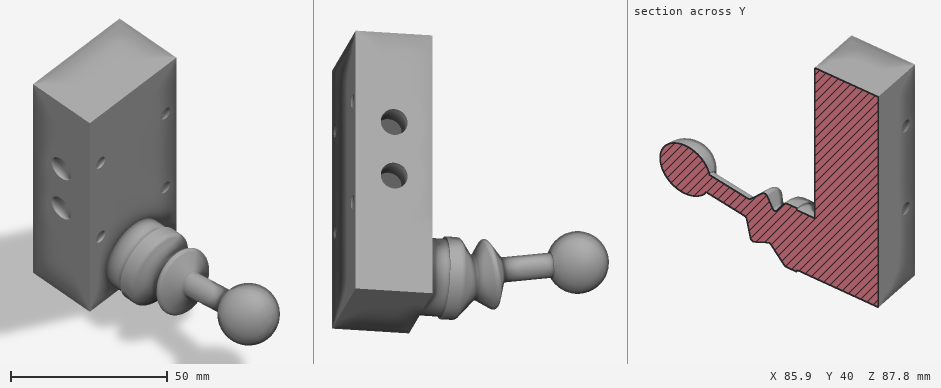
import cadquery as cq
import math

body_width = 25.0
body_depth = 40.0
body_height = 87.0

port_diameter = 8.7
port_depth = 10.0
port_spacing = 18.1
mount_hole_diameter = 4.5
mount_spacing_y = 30.0
mount_spacing_z = 34.05
hole_pattern_height = 47.9

collar_radius = 12.5
collar_length = 7.0
cap_radius = 13.25
cap_length = 4.65
cap_edge_round = 1.6
axis_height = collar_radius
cap_start = body_width + collar_length
cap_end = cap_start + cap_length

waist_radius = 6.85
waist_offset = 5.1
waist_rise = 0.4
waist_tilt = 8.0
waist_round = 0.8
disc_radius = 12.1
disc_offset = 10.5
disc_rise = 2.3
disc_tilt = 13.6
disc_round = 1.2

lever_tilt = 9.5
rod_radius = 4.0
rod_length = 24.9
rod_foot_round = 1.05
ball_radius = 10.0
ball_flat_distance = 8.9
overall_length = 85.9
ball_x = overall_length - ball_radius
ball_rise = 8.0
ball_z = axis_height + ball_rise
rod_start_x = ball_x - rod_length * math.cos(math.radians(lever_tilt))
rod_start_z = ball_z - rod_length * math.sin(math.radians(lever_tilt))


def tilted_direction(tilt):
    """Unit vector along +X, raised toward +Z by the tilt in degrees."""
    angle = math.radians(tilt)
    return cq.Vector(math.cos(angle), 0, math.sin(angle))


def tilted_plane(x, z, tilt):
    """Plane in the lever's symmetry plane y = 0, facing along the tilted direction."""
    return cq.Plane(origin=(x, 0, z), xDir=(0, 1, 0), normal=tilted_direction(tilt).toTuple())


def make_body():
    body = cq.Workplane("XY").box(body_width, body_depth, body_height, centered=(False, True, False))

    ports = (
        cq.Workplane("XZ", origin=(body_width / 2, -body_depth / 2, hole_pattern_height))
        .rarray(0.9, port_spacing, 1, 2)
        .circle(port_diameter / 2)
        .extrude(-port_depth)
    )

    mount_holes = (
        cq.Workplane("YZ", origin=(0, 0, hole_pattern_height))
        .rarray(mount_spacing_y, mount_spacing_z, 2, 2)
        .circle(mount_hole_diameter / 2)
        .extrude(body_width)
    )
    return body.cut(ports).cut(mount_holes)


def make_collar():
    return (
        cq.Workplane("YZ", origin=(body_width, 0, axis_height))
        .circle(collar_radius)
        .extrude(collar_length)
    )


def make_boot():
    """Cap and bent bellows, with straight walls from ring to ring."""
    rings = [
        (cap_start, axis_height, cap_radius, 0),
        (cap_end, axis_height, cap_radius, 0),
        (cap_end + waist_offset, axis_height + waist_rise, waist_radius, waist_tilt),
        (cap_end + disc_offset, axis_height + disc_rise, disc_radius, disc_tilt),
        (rod_start_x, rod_start_z, rod_radius, lever_tilt),
    ]
    wires = []
    for x, z, radius, tilt in rings:
        circle = cq.Workplane(tilted_plane(x, z, tilt)).circle(radius)
        wires.append(circle.wires().val())
    return cq.Workplane(cq.Solid.makeLoft(wires, True))


def make_rod():
    return (
        cq.Workplane(tilted_plane(rod_start_x, rod_start_z, lever_tilt))
        .circle(rod_radius)
        .extrude(rod_length)
    )


def make_ball():
    flat_center = cq.Vector(ball_x, 0, ball_z) - tilted_direction(lever_tilt) * ball_flat_distance
    beyond_flat = (
        cq.Workplane(tilted_plane(flat_center.x, flat_center.z, lever_tilt))
        .circle(ball_radius)
        .extrude(-ball_radius)
    )
    ball = cq.Workplane("XY", origin=(ball_x, 0, ball_z)).sphere(ball_radius)
    return ball.cut(beyond_flat)


def round_ring(solid, x, z, radius):
    """Round the ring-shaped edge centred at x, z."""
    gap = 0.1
    corner = cq.Vector(gap, gap, gap)
    center = cq.Vector(x, 0, z)
    low = center - corner
    high = center + corner
    return solid.edges(cq.selectors.BoxSelector(low.toTuple(), high.toTuple())).fillet(radius)


boot = make_boot().union(make_rod())
boot = round_ring(boot, cap_end, axis_height, cap_edge_round)
boot = round_ring(boot, cap_end + waist_offset, axis_height + waist_rise, waist_round)
boot = round_ring(boot, cap_end + disc_offset, axis_height + disc_rise, disc_round)
boot = round_ring(boot, rod_start_x, rod_start_z, rod_foot_round)

result = make_body().union(make_collar()).union(boot).union(make_ball())